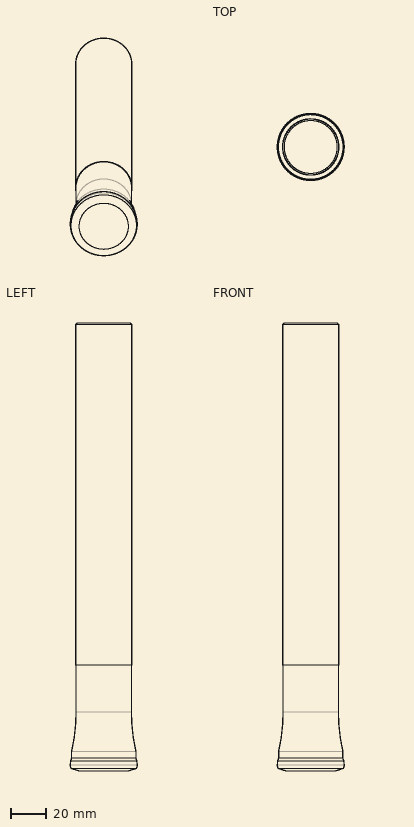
import cadquery as cq

TOTAL_LENGTH = 254.0
CUTTER_RADIUS = 19.0

SHANK_RADIUS = 16.0
SHANK_CHAMFER = 1.0
NECK_RADIUS = 15.7
NECK_TOP = 60.2
FLARE_TOP = 33.5
COLLAR_RADIUS = 18.3
COLLAR_TOP = 11.2
COLLAR_BOTTOM = 7.4
HOLDER_END_RADIUS = 18.8

CUTTER_HEIGHT = 5.8
CUTTER_WIDEST_HEIGHT = 3.5
CUTTER_CORNER_RADIUS = 18.5
CUTTER_CORNER_HEIGHT = 1.5
CUTTER_FACE_RADIUS = 14.0


def revolve_about_z(profile):
    """Turn a closed profile, drawn as radius and height, about the Z axis."""
    return profile.close().revolve(360, (0, 0, 0), (0, 1, 0))


def make_holder():
    """Long shank with a slimmer neck that flares out to a collar."""
    profile = (
        cq.Workplane("XZ")
        .moveTo(0, TOTAL_LENGTH)
        .lineTo(SHANK_RADIUS - SHANK_CHAMFER, TOTAL_LENGTH)
        .lineTo(SHANK_RADIUS, TOTAL_LENGTH - SHANK_CHAMFER)
        .lineTo(SHANK_RADIUS, NECK_TOP)
        .lineTo(NECK_RADIUS, NECK_TOP)
        .lineTo(NECK_RADIUS, FLARE_TOP)
        .tangentArcPoint((COLLAR_RADIUS, COLLAR_TOP), relative=False)
        .lineTo(COLLAR_RADIUS, COLLAR_BOTTOM)
        .lineTo(HOLDER_END_RADIUS, CUTTER_HEIGHT)
        .lineTo(0, CUTTER_HEIGHT)
    )
    return revolve_about_z(profile)


def make_cutter():
    """Rounded cutting disc with a shallow cone under its widest part."""
    corner_inset = CUTTER_RADIUS - CUTTER_CORNER_RADIUS
    profile = (
        cq.Workplane("XZ")
        .moveTo(0, CUTTER_HEIGHT)
        .lineTo(HOLDER_END_RADIUS, CUTTER_HEIGHT)
        .lineTo(CUTTER_RADIUS, CUTTER_WIDEST_HEIGHT)
        .threePointArc(
            (CUTTER_RADIUS - corner_inset / 4, (CUTTER_WIDEST_HEIGHT + CUTTER_CORNER_HEIGHT) / 2),
            (CUTTER_CORNER_RADIUS, CUTTER_CORNER_HEIGHT),
        )
        .lineTo(CUTTER_FACE_RADIUS, 0)
        .lineTo(0, 0)
    )
    return revolve_about_z(profile)


holder = make_holder()
cutter = make_cutter()
result = cq.Compound.makeCompound([holder.val(), cutter.val()])